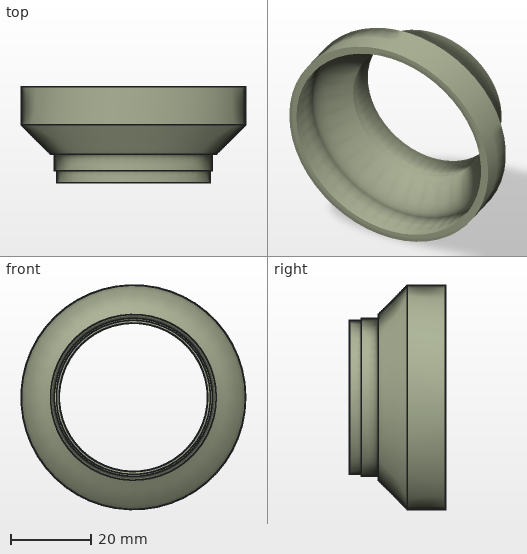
import cadquery as cq

rim_diameter = 56.0
shoulder_diameter = 41.3
collar_diameter = 39.4
spigot_diameter = 38.4
bore_diameter = 36.95
rim_wall = 2.0
bore_depth = 7.85

rim_length = 9.5
cone_length = 7.3
collar_length = 4.2
spigot_length = 3.0
total_length = rim_length + cone_length + collar_length + spigot_length

spigot_face = -total_length / 2
collar_start = spigot_face + spigot_length
shoulder_start = collar_start + collar_length
rim_start = shoulder_start + cone_length
rim_face = total_length / 2

bore_radius = bore_diameter / 2
cavity_radius = rim_diameter / 2 - rim_wall
bore_end = spigot_face + bore_depth
cavity_start = bore_end + (cavity_radius - bore_radius)

result = (
    cq.Workplane("XY")
    .moveTo(bore_radius, spigot_face)
    .lineTo(spigot_diameter / 2, spigot_face)
    .lineTo(spigot_diameter / 2, collar_start)
    .lineTo(collar_diameter / 2, collar_start)
    .lineTo(collar_diameter / 2, shoulder_start)
    .lineTo(shoulder_diameter / 2, shoulder_start)
    .lineTo(rim_diameter / 2, rim_start)
    .lineTo(rim_diameter / 2, rim_face)
    .lineTo(cavity_radius, rim_face)
    .lineTo(cavity_radius, cavity_start)
    .lineTo(bore_radius, bore_end)
    .close()
    .revolve(360, (0, 0, 0), (0, 1, 0))
)